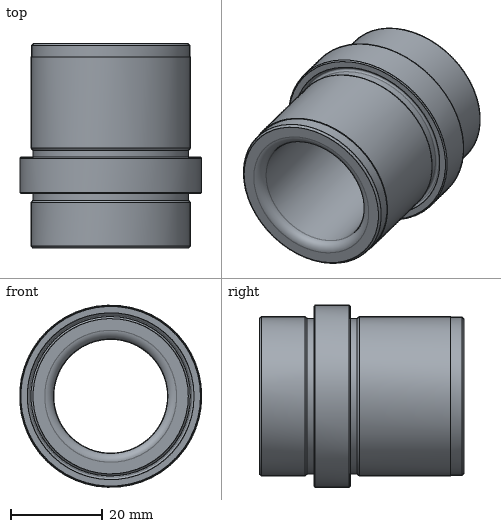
import cadquery as cq

length = 45.0
flange_diameter = 40.0
body_diameter = 35.0
pilot_diameter = 34.75
groove_diameter = 34.2
bore_diameter = 25.0

flange_front = 12.0
flange_rear = 20.0
groove_width = 2.0
pilot_length = 3.0

edge_chamfer = 0.45
groove_chamfer = 0.5
flange_chamfer = 0.25
relief_radius = 18.3
undercut_radius = 0.4
mouth_radius = 2.0

flange_radius = flange_diameter / 2
body_radius = body_diameter / 2
pilot_radius = pilot_diameter / 2
groove_radius = groove_diameter / 2
bore_radius = bore_diameter / 2
front_groove = flange_front - groove_width
rear_groove = flange_rear + groove_width

diagonal = 0.5 ** 0.5

root_radius = groove_radius + undercut_radius
relief_start_radius = root_radius + undercut_radius * diagonal
relief_depth = relief_radius - relief_start_radius
root_depth = relief_depth - undercut_radius * diagonal


def solid_of_revolution():
    """Revolve the half section, including the bore with rounded mouths."""
    mouth_offset = mouth_radius * (1 - diagonal)
    profile = (
        cq.Workplane("XY")
        .moveTo(bore_radius + mouth_radius, 0)
        .lineTo(body_radius - edge_chamfer, 0)
        .lineTo(body_radius, edge_chamfer)
        .lineTo(body_radius, front_groove)
        .lineTo(groove_radius, front_groove + groove_chamfer)
        .lineTo(groove_radius, flange_front + root_depth)
        .threePointArc(
            (root_radius, flange_front + root_depth + undercut_radius),
            (relief_start_radius, flange_front + relief_depth),
        )
        .lineTo(relief_radius, flange_front)
        .lineTo(flange_radius - flange_chamfer, flange_front)
        .lineTo(flange_radius, flange_front + flange_chamfer)
        .lineTo(flange_radius, flange_rear - flange_chamfer)
        .lineTo(flange_radius - flange_chamfer, flange_rear)
        .lineTo(relief_radius, flange_rear)
        .lineTo(relief_start_radius, flange_rear - relief_depth)
        .threePointArc(
            (root_radius, flange_rear - root_depth - undercut_radius),
            (groove_radius, flange_rear - root_depth),
        )
        .lineTo(groove_radius, rear_groove - groove_chamfer)
        .lineTo(body_radius, rear_groove)
        .lineTo(body_radius, length - pilot_length)
        .lineTo(pilot_radius, length - pilot_length)
        .lineTo(pilot_radius, length - edge_chamfer)
        .lineTo(pilot_radius - edge_chamfer, length)
        .lineTo(bore_radius + mouth_radius, length)
        .threePointArc(
            (bore_radius + mouth_offset, length - mouth_offset),
            (bore_radius, length - mouth_radius),
        )
        .lineTo(bore_radius, mouth_radius)
        .threePointArc(
            (bore_radius + mouth_offset, mouth_offset),
            (bore_radius + mouth_radius, 0),
        )
        .close()
    )
    return profile.revolve(360, (0, 0, 0), (0, 1, 0))


result = solid_of_revolution().translate((0, -length / 2, 0))